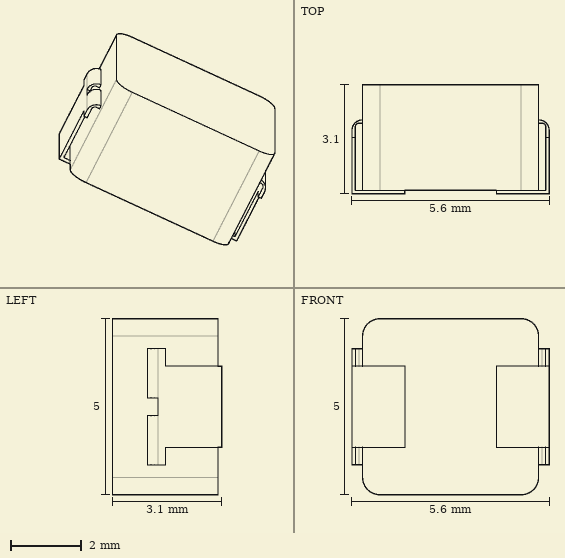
import cadquery as cq

overall_width = 5.6
body_side = 5.0
body_depth = 3.0
body_corner_radius = 0.5
lead_thickness = 0.1
pad_length = 1.5
pad_width = 2.3
shoulder_width = 3.3
shoulder_height = 0.2
slot_width = 0.5
bend_inner_radius = 0.1

lead_outer_x = -overall_width / 2
body_face_x = -body_side / 2
lead_inner_x = lead_outer_x + lead_thickness
body_front_y = -body_depth / 2
pad_outer_y = body_front_y - lead_thickness
bend_outer_radius = body_face_x - lead_outer_x
shoulder_start_y = 0.0
bend_start_y = shoulder_start_y + shoulder_height
lead_top_y = bend_start_y + bend_outer_radius


def make_body():
    """Block with its four Y-direction edges rounded."""
    block = cq.Workplane("XY").box(body_side, body_depth, body_side)
    return block.edges("|Y").fillet(body_corner_radius)


def make_pad_strip():
    """Narrow L-shaped strip: contact pad under the body and the upright beside it."""
    return (
        cq.Workplane("XY")
        .moveTo(lead_outer_x, pad_outer_y)
        .lineTo(lead_outer_x + pad_length, pad_outer_y)
        .lineTo(lead_outer_x + pad_length, body_front_y)
        .lineTo(lead_inner_x, body_front_y)
        .lineTo(lead_inner_x, shoulder_start_y)
        .lineTo(lead_outer_x, shoulder_start_y)
        .close()
        .extrude(pad_width / 2, both=True)
    )


def make_shoulder():
    """Wide top of the lead, bent over to meet the body side."""
    tab_underside_y = lead_top_y - lead_thickness
    bend = (
        cq.Workplane("XY")
        .moveTo(lead_outer_x, shoulder_start_y)
        .lineTo(lead_outer_x, bend_start_y)
        .radiusArc((body_face_x, lead_top_y), bend_outer_radius)
        .lineTo(body_face_x, tab_underside_y)
        .lineTo(lead_inner_x + bend_inner_radius, tab_underside_y)
        .radiusArc((lead_inner_x, tab_underside_y - bend_inner_radius), -bend_inner_radius)
        .lineTo(lead_inner_x, shoulder_start_y)
        .close()
        .extrude(shoulder_width / 2, both=True)
    )
    slot = (
        cq.Workplane("XY")
        .box(bend_outer_radius, bend_outer_radius, slot_width, centered=(False, False, True))
        .translate((lead_outer_x, bend_start_y, 0))
    )
    return bend.cut(slot)


left_lead = make_pad_strip().union(make_shoulder())
right_lead = left_lead.mirror("YZ")

result = make_body().union(left_lead).union(right_lead)